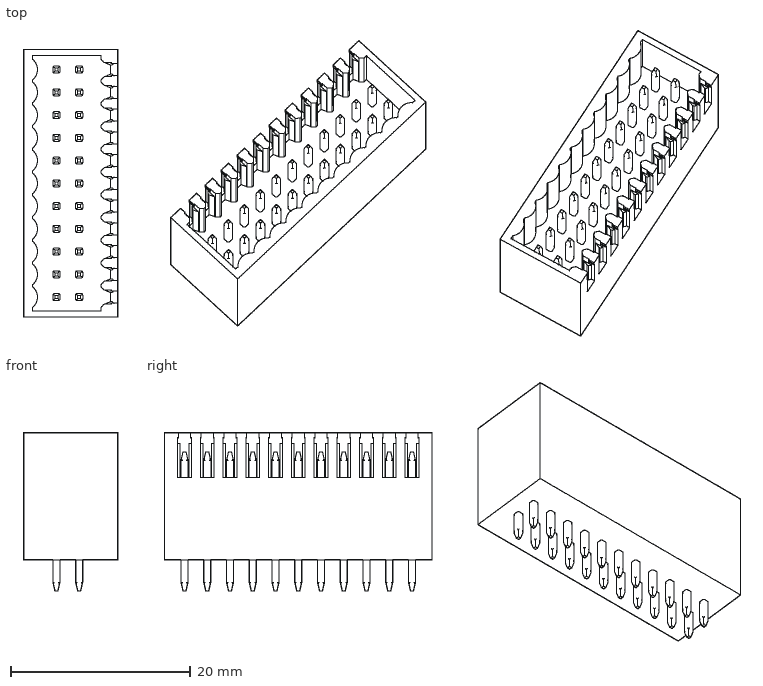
import cadquery as cq

BODY_X = 10.5
BODY_Y = 29.9
BODY_Z = 14.2
END_WALL = 0.7
SCALLOPED_WALL = 1.0
CAVITY_DEPTH = 7.15
FLOOR_Z = BODY_Z - CAVITY_DEPTH
TOOTH_TIP_X = 8.62

PITCH = 2.54
POSITIONS = 11
PIN_ROW_X = 3.65
PIN_ROWS_X = (PIN_ROW_X, PIN_ROW_X + PITCH)
PIN_YS = [(i - (POSITIONS - 1) / 2) * PITCH for i in range(POSITIONS)]

BULGE_WIDTH = 2.3
BULGE_HEIGHT = 0.53

SLOT_HALF = 0.77
TOOTH_CHAMFER = 0.38
SILL_THICKNESS = 0.8
SILL_X = BODY_X - SILL_THICKNESS
SILL_DROP = 5.0
SILL_Z = BODY_Z - SILL_DROP

LIP_X = 9.77
LIP_OFFSET = 0.09
LIP_HEIGHT = 0.6

RIB_START_X = 9.1
RIB_CREST_X = SILL_X
RIB_CREST_END_X = 9.87
RIB_END_X = 10.1
RIB_HEIGHT = 0.27
RIB_DROP = 1.2

PIN_WIDTH = 0.8
PIN_EDGE_RADIUS = 0.2
PIN_TIP_WIDTH = 0.34
PIN_BELOW = 3.5
PIN_TOP_DROP = 2.15
TAPER_LENGTH = 1.0
PIN_TOP_Z = BODY_Z - PIN_TOP_DROP


def box(x0, x1, y0, y1, z0, z1):
    """Box between two opposite corners."""
    return cq.Workplane("XY").box(x1 - x0, y1 - y0, z1 - z0, centered=False).translate((x0, y0, z0))


def along_housing(feature, row_x=0):
    """Copies of a feature at every contact position, shifted along X by row_x."""
    spots = cq.Workplane("XY").pushPoints([(row_x, y) for y in PIN_YS])
    return spots.eachpoint(lambda spot: feature.val().moved(spot))


def housing_shell():
    """Outer box with the plain rectangular cavity."""
    half_y = BODY_Y / 2
    cavity_half_y = half_y - END_WALL
    outer = box(0, BODY_X, -half_y, half_y, 0, BODY_Z)
    return outer.cut(box(SCALLOPED_WALL, TOOTH_TIP_X, -cavity_half_y, cavity_half_y, FLOOR_Z, BODY_Z))


def wall_bulge():
    """Convex rib with an arc outline, rooted inside the plain long wall."""
    half = BULGE_WIDTH / 2
    root_x = SCALLOPED_WALL / 2
    return (
        cq.Workplane("XY", origin=(0, 0, FLOOR_Z))
        .moveTo(root_x, -half)
        .lineTo(SCALLOPED_WALL, -half)
        .threePointArc((SCALLOPED_WALL + BULGE_HEIGHT, 0), (SCALLOPED_WALL, half))
        .lineTo(root_x, half)
        .close()
        .extrude(CAVITY_DEPTH)
    )


def slot():
    """Slot with a chamfered mouth, stopped by the low sill and open to the outside above it."""
    mouth_half = SLOT_HALF + TOOTH_CHAMFER
    flank_x = TOOTH_TIP_X + TOOTH_CHAMFER
    inner = (
        cq.Workplane("XY", origin=(0, 0, FLOOR_Z))
        .polyline([
            (TOOTH_TIP_X, -mouth_half),
            (flank_x, -SLOT_HALF),
            (SILL_X, -SLOT_HALF),
            (SILL_X, SLOT_HALF),
            (flank_x, SLOT_HALF),
            (TOOTH_TIP_X, mouth_half),
        ])
        .close()
        .extrude(CAVITY_DEPTH)
    )
    window = box(flank_x, BODY_X, -SLOT_HALF, SLOT_HALF, SILL_Z, BODY_Z)
    return inner.union(window)


def flank_rib(side):
    """Trapezoidal rib on one flank of a slot; side is -1 or +1 along Y."""
    crest = SLOT_HALF - RIB_HEIGHT
    rib_top = BODY_Z - RIB_DROP
    return (
        cq.Workplane("XY", origin=(0, 0, FLOOR_Z))
        .polyline([
            (RIB_START_X, side * SLOT_HALF),
            (RIB_CREST_X, side * crest),
            (RIB_CREST_END_X, side * crest),
            (RIB_END_X, side * SLOT_HALF),
        ])
        .close()
        .extrude(rib_top - FLOOR_Z)
    )


def rim_lip(side):
    """Thin lip at the rim on one flank of a slot; side is -1 or +1 along Y."""
    flank_ys = sorted((side * SLOT_HALF, side * (SLOT_HALF - LIP_OFFSET)))
    return box(LIP_X, BODY_X, flank_ys[0], flank_ys[1], BODY_Z - LIP_HEIGHT, BODY_Z)


def pin():
    """Pin through the floor: rounded square shaft trimmed by a pyramid taper at each end."""
    length = PIN_TOP_Z + PIN_BELOW
    shaft = (
        cq.Workplane("XY")
        .rect(PIN_WIDTH, PIN_WIDTH)
        .extrude(length)
        .edges("|Z")
        .fillet(PIN_EDGE_RADIUS)
    )
    envelope = (
        cq.Workplane("XY")
        .rect(PIN_TIP_WIDTH, PIN_TIP_WIDTH)
        .workplane(offset=TAPER_LENGTH)
        .rect(PIN_WIDTH, PIN_WIDTH)
        .loft(ruled=True)
        .faces(">Z")
        .workplane()
        .rect(PIN_WIDTH, PIN_WIDTH)
        .extrude(length - 2 * TAPER_LENGTH)
        .faces(">Z")
        .workplane()
        .rect(PIN_WIDTH, PIN_WIDTH)
        .workplane(offset=TAPER_LENGTH)
        .rect(PIN_TIP_WIDTH, PIN_TIP_WIDTH)
        .loft(ruled=True)
    )
    return shaft.intersect(envelope).translate((0, 0, -PIN_BELOW))


result = housing_shell().union(along_housing(wall_bulge())).cut(along_housing(slot()))
for flank_side in (-1, 1):
    result = result.union(along_housing(flank_rib(flank_side)))
    result = result.union(along_housing(rim_lip(flank_side)))
for pin_x in PIN_ROWS_X:
    result = result.union(along_housing(pin(), pin_x))